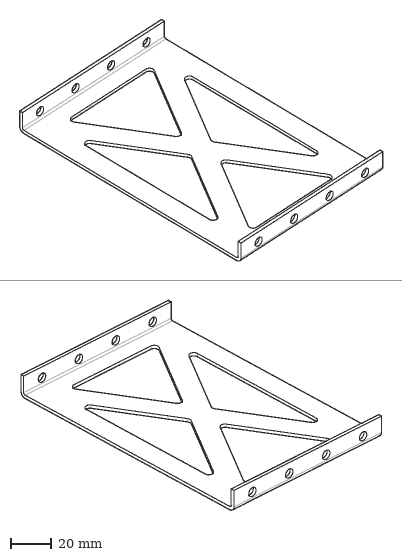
import cadquery as cq
import math

length = 152.4
width = 101.7
height = 12.6
thickness = 2.0
inner_bend_radius = 1.0
outer_bend_radius = inner_bend_radius + thickness

frame_width = 12.6
bar_width = 12.6
corner_radius = 2.5

hole_diameter = 5.0
hole_count = 4
hole_pitch = width / hole_count
hole_height = height / 2


def make_channel():
    """Bent sheet: a solid block with rounded bends, hollowed from above."""
    outer = (
        cq.Workplane("XY")
        .box(length, width, height, centered=(True, True, False))
        .edges("|Y and <Z")
        .fillet(outer_bend_radius)
    )
    inner = (
        cq.Workplane("XY")
        .workplane(offset=thickness)
        .box(length - 2 * thickness, width, height, centered=(True, True, False))
        .edges("|Y and <Z")
        .fillet(inner_bend_radius)
    )
    return outer.cut(inner)


def make_window(points):
    """Triangular cutter with rounded corners, through the plate."""
    return (
        cq.Workplane("XY")
        .polyline(points)
        .close()
        .extrude(thickness)
        .edges("|Z")
        .fillet(corner_radius)
    )


def cut_windows(body):
    """Remove the four triangles between the frame and the diagonal bars."""
    half_x = length / 2 - frame_width
    half_y = width / 2 - frame_width
    diagonal = math.hypot(half_x, half_y)
    offset_x = bar_width / 2 * diagonal / half_y
    offset_y = bar_width / 2 * diagonal / half_x
    for side in (-1, 1):
        end_window = make_window([
            (side * offset_x, 0),
            (side * half_x, half_y - offset_y),
            (side * half_x, offset_y - half_y),
        ])
        side_window = make_window([
            (0, side * offset_y),
            (half_x - offset_x, side * half_y),
            (offset_x - half_x, side * half_y),
        ])
        body = body.cut(end_window).cut(side_window)
    return body


def cut_flange_holes(body):
    """Drill the row of holes through both flanges."""
    drills = (
        cq.Workplane("YZ")
        .center(0, hole_height)
        .rarray(hole_pitch, 1.5, hole_count, 1)
        .circle(hole_diameter / 2)
        .extrude(length / 2, both=True)
    )
    return body.cut(drills)


result = cut_flange_holes(cut_windows(make_channel()))